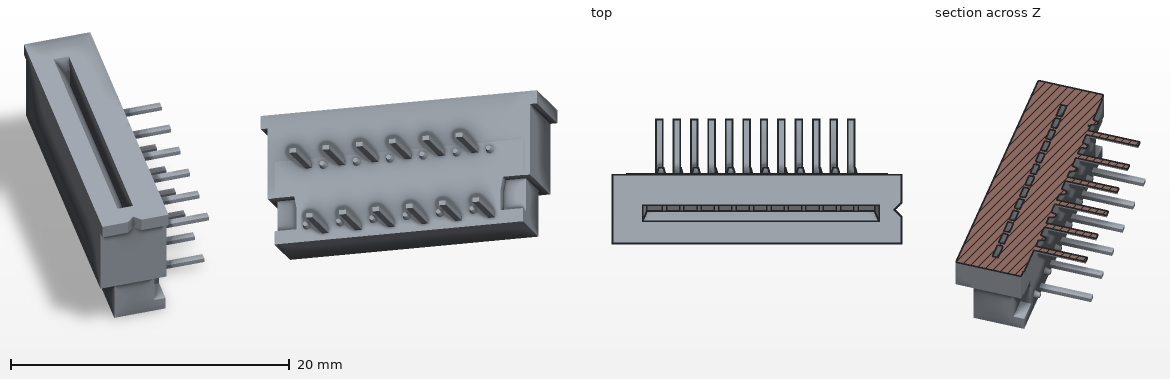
import cadquery as cq

TOTAL_LENGTH = 20.75
TOTAL_HEIGHT = 9.8
HOUSING_DEPTH = 4.94
FLANGE_HEIGHT = 1.0
END_STEP = 0.52
HOUSING_BOTTOM = 3.49
HOUSING_LENGTH = TOTAL_LENGTH - 2 * END_STEP

BASE_LENGTH = HOUSING_LENGTH - 2 * END_STEP
BASE_FRONT = 1.18
BASE_BACK = 5.0
BASE_TOP = 6.2
BASE_BEVEL = 0.17

RECESS_DEPTH = 0.8
RECESS_LENGTH = 1.65
RECESS_FLOOR = 1.0
RECESS_SLOPE_START = 2.61
RECESS_SLOPE_RUN = 0.17

NOTCH_SIZE = 0.5
NOTCH_Y = 2.43

SLOT_CENTER_X = 0.27
SLOT_LENGTH = 16.35
SLOT_FRONT = 2.3
SLOT_FLOOR_FRONT = 2.37
SLOT_BACK = 2.74
MOUTH_FRONT = 1.6
MOUTH_END_RUN = 0.31
MOUTH_DEPTH = 1.08
SLOT_DEPTH = 5.19
SLOT_FLOOR = TOTAL_HEIGHT - SLOT_DEPTH

CONTACT_COUNT = 12
CONTACT_SPAN = 13.75
PITCH = CONTACT_SPAN / (CONTACT_COUNT - 1)
CONTACT_WIDTH = 0.31
CONTACT_OFFSET = 0.23
CONTACT_FRONT_HEIGHT = 2.9
CONTACT_BACK_HEIGHT = 2.5
PIN_WIDTH = 0.5
PIN_THICKNESS = 0.33
PIN_OFFSET = -0.12
PIN_TIP = 8.9
LOWER_PIN_Z = 0.66
UPPER_PIN_Z = 5.66
PEG_BASE_DIAMETER = 0.6
PEG_TIP_DIAMETER = 0.35
PEG_LENGTH = 0.44
LOWER_PEG_Z = 1.2
UPPER_PEG_Z = 5.65


def box(x_range, y_range, z_range):
    """Axis-aligned box between pairs of limits."""
    size = [high - low for low, high in (x_range, y_range, z_range)]
    corner = (x_range[0], y_range[0], z_range[0])
    return cq.Workplane("XY").box(*size, centered=False).translate(corner)


def centered_range(center, size):
    """Limits of a length laid evenly about a center."""
    return (center - size / 2, center + size / 2)


def make_housing():
    """Upper block with the notched flange around its top ends."""
    housing = box(
        centered_range(0, HOUSING_LENGTH), (0, HOUSING_DEPTH), (HOUSING_BOTTOM, TOTAL_HEIGHT)
    )
    flange_bottom = TOTAL_HEIGHT - FLANGE_HEIGHT
    flange = box(
        centered_range(0, TOTAL_LENGTH), (0, HOUSING_DEPTH), (flange_bottom, TOTAL_HEIGHT)
    )
    end_x = TOTAL_LENGTH / 2
    notch = (
        cq.Workplane("XY", origin=(0, 0, flange_bottom))
        .moveTo(end_x, NOTCH_Y - NOTCH_SIZE)
        .lineTo(end_x, NOTCH_Y + NOTCH_SIZE)
        .lineTo(end_x - NOTCH_SIZE, NOTCH_Y)
        .close()
        .extrude(FLANGE_HEIGHT)
    )
    return housing.union(flange.cut(notch))


def make_base():
    """Lower block with its front bevel and two rear corner recesses."""
    base = box(centered_range(0, BASE_LENGTH), (BASE_FRONT, BASE_BACK), (0, BASE_TOP))
    bevel = (
        cq.Workplane("YZ", origin=(-BASE_LENGTH / 2, 0, 0))
        .moveTo(BASE_FRONT, HOUSING_BOTTOM - BASE_BEVEL)
        .lineTo(BASE_FRONT, HOUSING_BOTTOM)
        .lineTo(BASE_FRONT - BASE_BEVEL, HOUSING_BOTTOM)
        .close()
        .extrude(BASE_LENGTH)
    )
    end_x = -BASE_LENGTH / 2
    wall_x = end_x + RECESS_LENGTH
    recess = (
        cq.Workplane("XZ", origin=(0, BASE_BACK, 0))
        .moveTo(end_x, RECESS_FLOOR)
        .lineTo(wall_x, RECESS_FLOOR)
        .lineTo(wall_x, RECESS_SLOPE_START)
        .lineTo(wall_x - RECESS_SLOPE_RUN, HOUSING_BOTTOM)
        .lineTo(end_x, HOUSING_BOTTOM)
        .close()
        .extrude(RECESS_DEPTH)
    )
    return base.union(bevel).cut(recess).cut(recess.mirror("YZ"))


def make_slot():
    """Void of the slot: a pocket with a leaning front wall, below a mouth widening to the front and ends."""
    mouth_bottom = TOTAL_HEIGHT - MOUTH_DEPTH
    slot_width = SLOT_BACK - SLOT_FRONT
    mouth_width = SLOT_BACK - MOUTH_FRONT
    pocket = (
        cq.Workplane("YZ", origin=(SLOT_CENTER_X - SLOT_LENGTH / 2, 0, 0))
        .moveTo(SLOT_BACK, SLOT_FLOOR)
        .lineTo(SLOT_FLOOR_FRONT, SLOT_FLOOR)
        .lineTo(SLOT_FRONT, mouth_bottom)
        .lineTo(SLOT_BACK, mouth_bottom)
        .close()
        .extrude(SLOT_LENGTH)
    )
    mouth = (
        cq.Workplane("XY", origin=(SLOT_CENTER_X, SLOT_BACK - slot_width / 2, mouth_bottom))
        .rect(SLOT_LENGTH, slot_width)
        .workplane(offset=MOUTH_DEPTH)
        .center(0, (slot_width - mouth_width) / 2)
        .rect(SLOT_LENGTH + 2 * MOUTH_END_RUN, mouth_width)
        .loft(ruled=True)
    )
    return pocket.union(mouth)


def make_contact(x):
    """Contact on the slot floor with a top that falls toward the back."""
    return (
        cq.Workplane("YZ", origin=(x - CONTACT_WIDTH / 2, 0, 0))
        .moveTo(SLOT_FRONT, SLOT_FLOOR)
        .lineTo(SLOT_BACK, SLOT_FLOOR)
        .lineTo(SLOT_BACK, SLOT_FLOOR + CONTACT_BACK_HEIGHT)
        .lineTo(SLOT_FRONT, SLOT_FLOOR + CONTACT_FRONT_HEIGHT)
        .close()
        .extrude(CONTACT_WIDTH)
    )


def make_pin(x, z):
    """Flat solder pin reaching out behind the housing."""
    return box(
        centered_range(x, PIN_WIDTH), (HOUSING_DEPTH, PIN_TIP), centered_range(z, PIN_THICKNESS)
    )


def make_peg(x, z):
    """Tapered round peg on the back of the base."""
    rear_plane = cq.Plane(origin=(x, BASE_BACK, z), xDir=(-1, 0, 0), normal=(0, 1, 0))
    return (
        cq.Workplane(rear_plane)
        .circle(PEG_BASE_DIAMETER / 2)
        .workplane(offset=PEG_LENGTH)
        .circle(PEG_TIP_DIAMETER / 2)
        .loft(ruled=True)
    )


result = make_housing().union(make_base()).cut(make_slot())

for index in range(CONTACT_COUNT):
    contact_x = index * PITCH - CONTACT_SPAN / 2
    in_lower_row = index % 2 == 0
    pin_z = LOWER_PIN_Z if in_lower_row else UPPER_PIN_Z
    peg_z = UPPER_PEG_Z if in_lower_row else LOWER_PEG_Z
    result = result.union(make_contact(contact_x + CONTACT_OFFSET))
    result = result.union(make_pin(contact_x + PIN_OFFSET, pin_z))
    result = result.union(make_peg(contact_x, peg_z))